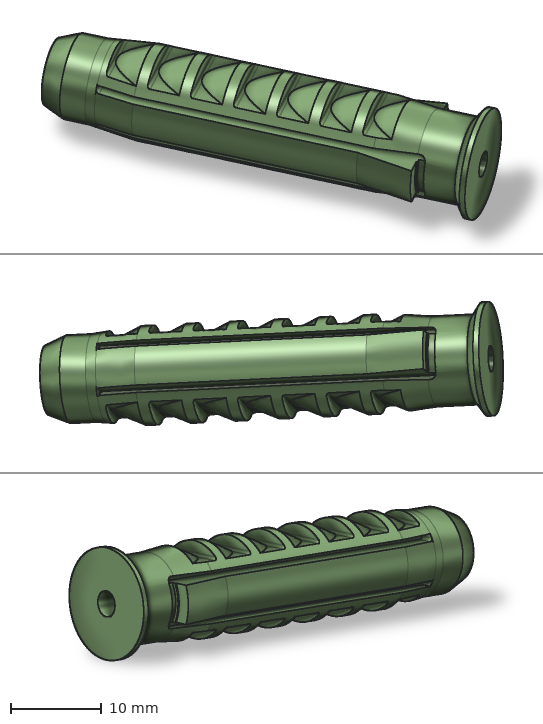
import cadquery as cq

LENGTH = 50.0
BORE_DIAMETER = 2.9

TIP_RADIUS = 3.85
TIP_TAPER_END = 2.45
NOSE_DIAMETER = 9.75
NOSE_RADIUS = NOSE_DIAMETER / 2
NOSE_END = 5.35

LEAD_END = 6.5
LEAD_RADIUS = 5.0
SHANK_RADIUS = 5.5
SHANK_START = 11.0
SHANK_END = 38.8

NECK_RADIUS = 5.0
NECK_START = 43.75
COLLAR_RADIUS = 6.3
COLLAR_RIM = 0.65
COLLAR_CONE = 0.95

BARB_COUNT = 7
BARB_PITCH = 5.0
POCKET_START = 7.25
FLOOR_TO_FLOOR = 7.75
POCKET_FLOOR = FLOOR_TO_FLOOR / 2
POCKET_FILLET = 0.35
BARB_ROOT_RADIUS = 3.8

WING_WIDTH = 4.4
CHANNEL_WIDTH = 0.75
CHANNEL_FLOOR = 2.75
CHANNEL_END_RADIUS = 0.7
CHANNEL_START_RADIUS = 0.4
GAP_FLOOR_RADIUS = 4.6
CHANNEL_START = LEAD_END
CHANNEL_END = 44.75
WING_ROOT_END = 43.9
FLARE_START = 37.1
FLARE_RADIUS = 6.55

CLEARANCE = 1.5


def revolve_profile(points):
    """Turn a closed (x, radius) outline around the X axis."""
    outline = cq.Workplane("XY").polyline(points).close()
    return outline.revolve(360, (0, 0, 0), (1, 0, 0))


def make_body():
    collar_start = LENGTH - COLLAR_RIM - COLLAR_CONE
    return revolve_profile([
        (0, 0),
        (0, TIP_RADIUS),
        (TIP_TAPER_END, NOSE_RADIUS),
        (NOSE_END, NOSE_RADIUS),
        (LEAD_END, LEAD_RADIUS),
        (SHANK_START, SHANK_RADIUS),
        (SHANK_END, SHANK_RADIUS),
        (NECK_START, NECK_RADIUS),
        (collar_start, NECK_RADIUS),
        (LENGTH - COLLAR_RIM, COLLAR_RADIUS),
        (LENGTH, COLLAR_RADIUS),
        (LENGTH, 0),
    ])


def make_pocket(start, side):
    """Notch ahead of one barb: square front face, flat floor, conical ramp at the back."""
    barb_length = SHANK_START - POCKET_START
    height = SHANK_RADIUS + CLEARANCE - POCKET_FLOOR
    notch = (
        cq.Workplane("XY")
        .box(barb_length, 2 * SHANK_RADIUS, height, centered=(False, True, False))
        .translate((start, 0, POCKET_FLOOR))
        .edges("<X and <Z")
        .fillet(POCKET_FILLET)
    )
    ramp = revolve_profile([
        (start, 0),
        (start, BARB_ROOT_RADIUS),
        (start + barb_length, SHANK_RADIUS),
        (start + barb_length, 0),
    ])
    pocket = notch.cut(ramp)
    return pocket if side > 0 else pocket.mirror("XY")


def make_wing_channels(side):
    """Two straight channels, one along each edge of a wing, with flat floors."""
    length = CHANNEL_END - CHANNEL_START
    depth = SHANK_RADIUS + CLEARANCE - CHANNEL_FLOOR
    channel = (
        cq.Workplane("XY")
        .box(length, depth, CHANNEL_WIDTH, centered=False)
        .translate((CHANNEL_START, CHANNEL_FLOOR, WING_WIDTH / 2))
    )
    channel = channel.edges("|Y and >X and >Z").fillet(CHANNEL_END_RADIUS)
    channel = channel.edges("|Y and <X and <Z").fillet(CHANNEL_START_RADIUS)
    channels = channel.union(channel.mirror("XY"))
    return channels if side > 0 else channels.mirror("XZ")


def make_wing_gap(side):
    """Relief behind the end of a wing, with a cylindrical floor."""
    length = CHANNEL_END - WING_ROOT_END
    depth = SHANK_RADIUS + CLEARANCE
    gap = (
        cq.Workplane("XY")
        .box(length, depth, WING_WIDTH, centered=(False, False, True))
        .translate((WING_ROOT_END, 0, 0))
    )
    core = cq.Workplane("YZ").circle(GAP_FLOOR_RADIUS).extrude(LENGTH)
    gap = gap.cut(core)
    return gap if side > 0 else gap.mirror("XZ")


def make_flares():
    """Flared wing ends: a widening cone trimmed to the width of the wings."""
    cone = revolve_profile([
        (FLARE_START, 0),
        (FLARE_START, SHANK_RADIUS),
        (NECK_START, FLARE_RADIUS),
        (NECK_START, 0),
    ])
    band = cq.Workplane("XY").box(
        LENGTH, 2 * (FLARE_RADIUS + CLEARANCE), WING_WIDTH, centered=(False, True, True)
    )
    return cone.intersect(band)


result = make_body()
for side in (1, -1):
    for index in range(BARB_COUNT):
        result = result.cut(make_pocket(POCKET_START + index * BARB_PITCH, side))
    result = result.cut(make_wing_channels(side))
    result = result.cut(make_wing_gap(side))
result = result.union(make_flares())

bore = cq.Workplane("YZ").circle(BORE_DIAMETER / 2).extrude(LENGTH)
result = result.cut(bore)